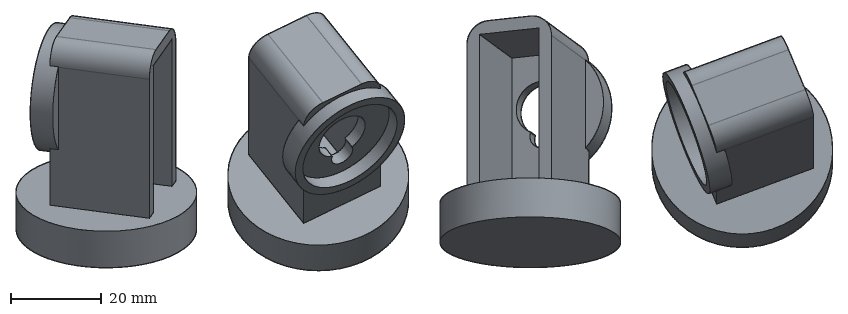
import cadquery as cq

base_diameter = 40.0
base_height = 9.0

overall_height = 48.0
block_front_x = -10.0
block_back_x = 13.0
block_width = 20.0
top_edge_radius = 5.0
wall_thickness = 3.0

collar_diameter = 28.5
collar_front_x = -13.25
collar_back_x = -8.0
recess_diameter = 24.5
bore_height = 33.0

keyhole_diameter = 12.0
key_slot_diameter = 5.5
key_slot_drop = 6.45


def cylinder_along_x(diameter, start_x, end_x, center_z):
    """Cylinder along X, centred at Y = 0."""
    return (
        cq.Workplane("YZ", origin=(start_x, 0, center_z))
        .circle(diameter / 2)
        .extrude(end_x - start_x)
    )


base = cq.Workplane("XY").circle(base_diameter / 2).extrude(base_height)

block = (
    cq.Workplane("XY", origin=((block_front_x + block_back_x) / 2, 0, base_height))
    .rect(block_back_x - block_front_x, block_width)
    .extrude(overall_height - base_height)
    .faces(">Z")
    .edges("|X")
    .fillet(top_edge_radius)
)

cavity_front_x = block_front_x + wall_thickness
cavity = (
    cq.Workplane("XY", origin=((cavity_front_x + block_back_x) / 2, 0, base_height))
    .rect(block_back_x - cavity_front_x, block_width - 2 * wall_thickness)
    .extrude(overall_height - wall_thickness - base_height)
)

collar = cylinder_along_x(collar_diameter, collar_front_x, collar_back_x, bore_height)
recess = cylinder_along_x(
    recess_diameter, collar_front_x, block_front_x, bore_height
)

keyhole = cylinder_along_x(keyhole_diameter, collar_front_x, cavity_front_x, bore_height)
key_slot = cylinder_along_x(
    key_slot_diameter, collar_front_x, cavity_front_x, bore_height - key_slot_drop
)

solid_body = base.union(block).union(collar)
result = solid_body.cut(cavity).cut(recess).cut(keyhole).cut(key_slot)